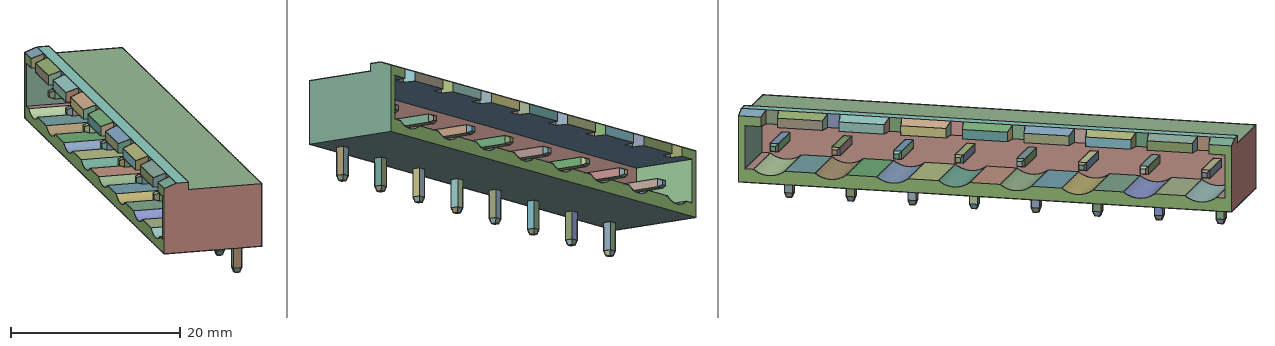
import cadquery as cq
import math


pin_count = 8
pitch = 7.5
first_pin_x = -pitch * (pin_count - 1) / 2
pin_positions = [first_pin_x + i * pitch for i in range(pin_count)]

length = pin_count * pitch
depth = 12.0
height = 8.6
rear_height = 7.7
lip_depth = 3.0
bevel_depth = 1.5
bevel_drop = 0.55

side_wall = 0.8
roof_thickness = 1.7
floor_thickness = 1.65
cavity_depth = 8.2
cavity_height = height - roof_thickness - floor_thickness
cavity_length = length - 2 * side_wall

scallop_width = 3.8
scallop_sag = 0.65
scallop_radius = ((scallop_width / 2) ** 2 + scallop_sag ** 2) / (2 * scallop_sag)
scallop_center_z = floor_thickness - scallop_sag + scallop_radius

notch_front_width = 2.0
notch_back_width = 1.5

pin_size = 1.0
pin_z = 3.8
solder_leg_length = 4.0
solder_leg_y = depth - 2.05
contact_tip_y = 1.9
tip_taper_length = 0.6
tip_taper_inset = 0.2


def make_housing():
    profile = [
        (0, 0),
        (depth, 0),
        (depth, rear_height),
        (lip_depth, rear_height),
        (lip_depth, height),
        (bevel_depth, height),
        (0, height - bevel_drop),
    ]
    return cq.Workplane("YZ").polyline(profile).close().extrude(length / 2, both=True)


def make_cavity():
    return (
        cq.Workplane("XY")
        .workplane(offset=floor_thickness)
        .box(cavity_length, cavity_depth, cavity_height, centered=(True, False, False))
    )


def make_scallop(x):
    """Shallow cylindrical trough; only the part below the floor removes material."""
    cylinder = cq.Workplane("XZ").center(x, scallop_center_z).circle(scallop_radius).extrude(-cavity_depth)
    below_floor = cq.Workplane("XY").box(
        length, depth, floor_thickness, centered=(True, False, False)
    )
    return cylinder.intersect(below_floor)


def make_notch(x):
    outline = [
        (x - notch_front_width / 2, 0),
        (x + notch_front_width / 2, 0),
        (x + notch_back_width / 2, bevel_depth),
        (x - notch_back_width / 2, bevel_depth),
    ]
    return (
        cq.Workplane("XY")
        .workplane(offset=height - roof_thickness)
        .polyline(outline)
        .close()
        .extrude(roof_thickness)
    )


def make_bar(start, direction, bar_length):
    """Square bar running from start along direction, with a tapered tip."""
    taper_angle = math.degrees(math.atan2(tip_taper_inset, tip_taper_length))
    shank_length = bar_length - tip_taper_length
    base = cq.Workplane(cq.Plane(origin=start, xDir=(1, 0, 0), normal=direction))
    shank = base.rect(pin_size, pin_size).extrude(shank_length)
    tip = (
        base.workplane(offset=shank_length)
        .rect(pin_size, pin_size)
        .extrude(tip_taper_length, taper=taper_angle)
    )
    return shank.union(tip)


def make_pin(x):
    """Right-angle pin: a contact toward the front and a solder leg going down."""
    leg_top = pin_z + pin_size / 2
    leg = make_bar((x, solder_leg_y, leg_top), (0, 0, -1), leg_top + solder_leg_length)
    contact = make_bar((x, solder_leg_y, pin_z), (0, -1, 0), solder_leg_y - contact_tip_y)
    return leg.union(contact)


result = make_housing().cut(make_cavity())
for pin_x in pin_positions:
    result = result.cut(make_scallop(pin_x)).cut(make_notch(pin_x))
for pin_x in pin_positions:
    result = result.union(make_pin(pin_x))